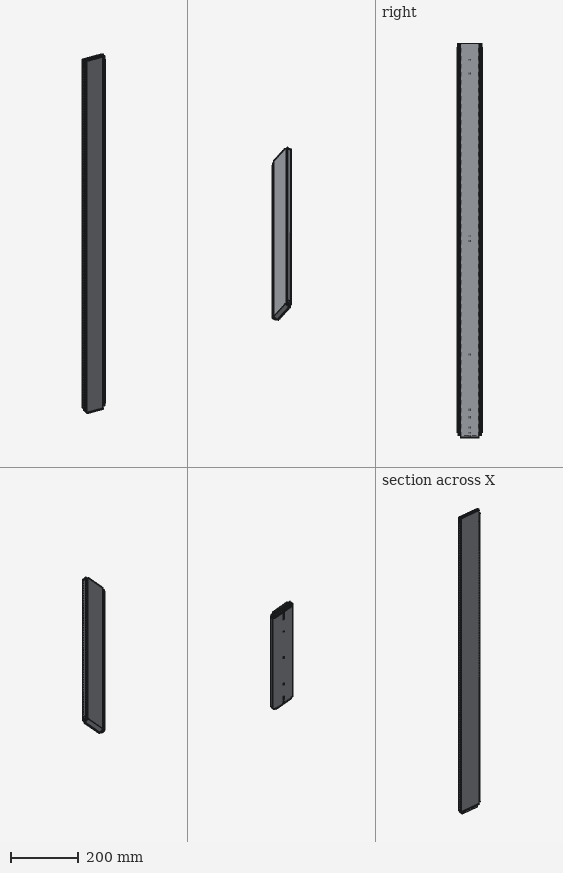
import cadquery as cq
import math

length = 1168
depth = 20.0
half_width = 38.0

outer_wall = 1.8
outer_bend = 6.0
outer_crown = 1.0
outer_tip = 16.0
flange_bottom = 16.0
flange_top = 1155.0
tongue_bottom = 3.6
tongue_half_width = 27.5
hole_diameter = 5.0
hole_heights = [
    7.0, 18.0, 32.0, 62.0, 74.0, 84.0, 95.0, 248.0, 260.0,
    584, 597.0, 921.0, 1078.0, 1092.0, 1109.0, 1119.0, 1137.0, 1155.0,
]

nested_bottom = 8.0
nested_tip = 16.0
retainer_wall = 1.0
outer_retainer_back = 2.9
outer_retainer_half_width = 34.5
outer_retainer_bend = 6.4
outer_retainer_groove = 0.2
middle_back = 7.6
middle_wall = 2.9
middle_half_width = 33.0
middle_bend = 4.1
inner_retainer_back = 13.4
inner_retainer_half_width = 29.0
inner_retainer_bend = 2.0

inner_wall = 1.8
inner_half_width = 27.5
inner_bend = 2.0
inner_tip = 15.0
tab_height = 3.6
tab_edge = 5.3
tab_bevel = 2.5


def channel(back, tip, half, wall, bend, bottom, top, crown=0.0):
    """Channel along Z with its web at x = back and flanges reaching x = tip, bowed outwards by crown."""
    toward_tip = math.copysign(1, tip - back)
    bend_x = back + toward_tip * bend
    bend_y = half - bend
    race_x = (bend_x + tip) / 2
    outside = half
    inside = half - wall
    inner_radius = bend - wall
    inner_back = back + toward_tip * wall

    def bend_middle(radius, side):
        reach = radius * math.sqrt(0.5)
        return bend_x - toward_tip * reach, side * (bend_y + reach)

    def flange(sketch, y, side, to_tip):
        end_x = tip if to_tip else bend_x
        if crown == 0:
            return sketch.lineTo(end_x, side * y)
        return sketch.threePointArc((race_x, side * (y + crown)), (end_x, side * y))

    sketch = cq.Workplane("XY").workplane(offset=bottom).moveTo(back, -bend_y).lineTo(back, bend_y)
    sketch = sketch.threePointArc(bend_middle(bend, 1), (bend_x, outside))
    sketch = flange(sketch, outside, 1, True).lineTo(tip, inside)
    sketch = flange(sketch, inside, 1, False)
    sketch = sketch.threePointArc(bend_middle(inner_radius, 1), (inner_back, bend_y))
    sketch = sketch.lineTo(inner_back, -bend_y)
    sketch = sketch.threePointArc(bend_middle(inner_radius, -1), (bend_x, -inside))
    sketch = flange(sketch, inside, -1, True).lineTo(tip, -outside)
    sketch = flange(sketch, outside, -1, False)
    sketch = sketch.threePointArc(bend_middle(bend, -1), (back, -bend_y))
    return sketch.close().extrude(top - bottom)


def block(x_min, x_max, y_min, y_max, z_min, z_max):
    """Box between opposite corners."""
    return cq.Workplane("XY").box(
        x_max - x_min, y_max - y_min, z_max - z_min, centered=False
    ).translate((x_min, y_min, z_min))


def make_outer():
    """Drilled outer channel with trimmed flange ends and a tongue at the bottom of its web."""
    body = channel(
        0, outer_tip, half_width - outer_crown, outer_wall, outer_bend,
        tongue_bottom, length, outer_crown,
    )
    for y_min, y_max in ((-half_width, -tongue_half_width), (tongue_half_width, half_width)):
        body = body.cut(block(0, depth, y_min, y_max, 0, flange_bottom))
    body = body.cut(block(outer_bend, depth, -half_width, half_width, flange_top, length))
    holes = (
        cq.Workplane("YZ")
        .pushPoints([(0, z) for z in hole_heights])
        .circle(hole_diameter / 2)
        .extrude(outer_wall)
    )
    return body.cut(holes)


def make_outer_retainer():
    """Ball retainer between the outer and middle channels, with shallow grooves along its flanges."""
    return channel(
        outer_retainer_back, nested_tip, outer_retainer_half_width, retainer_wall,
        outer_retainer_bend, nested_bottom, length, -outer_retainer_groove,
    )


def make_middle():
    """Middle channel."""
    return channel(
        middle_back, nested_tip, middle_half_width, middle_wall, middle_bend, nested_bottom, length,
    )


def make_inner_retainer():
    """Ball retainer between the middle and inner channels."""
    return channel(
        inner_retainer_back, nested_tip, inner_retainer_half_width, retainer_wall,
        inner_retainer_bend, nested_bottom, length,
    )


def make_inner():
    """Inner channel, facing the others, with a bevelled tab folded across its bottom end."""
    body = channel(depth, inner_tip, inner_half_width, inner_wall, inner_bend, 0, length)
    tab = (
        cq.Workplane("XZ", origin=(0, inner_half_width, 0))
        .moveTo(tab_edge, 0)
        .lineTo(depth, 0)
        .lineTo(depth, tab_height)
        .lineTo(tab_edge - tab_bevel, tab_height)
        .close()
        .extrude(2 * inner_half_width)
    )
    return body.union(tab)


outer = make_outer()
outer_retainer = make_outer_retainer()
middle = make_middle()
inner_retainer = make_inner_retainer()
inner = make_inner()

result = cq.Compound.makeCompound(
    [outer.val(), outer_retainer.val(), middle.val(), inner_retainer.val(), inner.val()]
)